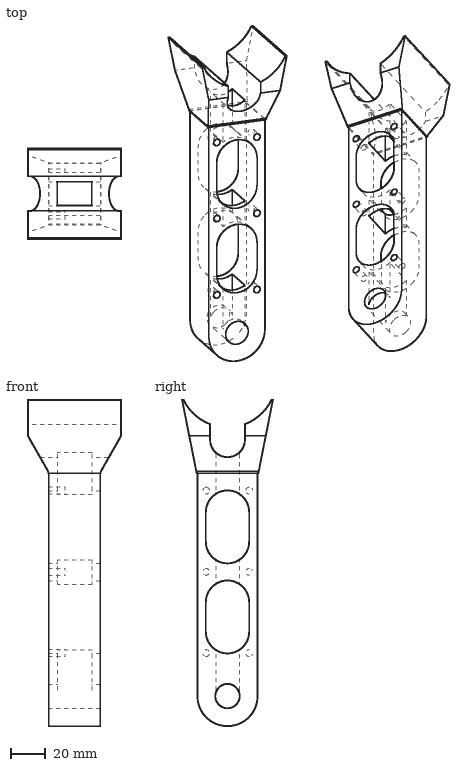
import cadquery as cq
import math

bar_thickness = 30.0
bar_width = 35.0
bar_radius = bar_width / 2
pivot_z = bar_radius
pivot_diameter = 14.0

total_height = 188.8
head_length = 54.0
head_base_length = 30.5
head_top_width = 52.7
head_bottom_width = 35.9
head_bottom_z = 146.5
flare_start_z = 147.5
flare_end_z = 168
lip_width = 1.0

seat_radius = 28.3
seat_half_opening = head_top_width / 2 - lip_width
seat_axis_z = total_height + math.sqrt(seat_radius**2 - seat_half_opening**2)
groove_width = 20.0
groove_floor_z = 155.8

window_width = 25.0
window_height = 42.1
window_centers_z = (63.3, 115.4)
screw_hole_diameter = 4.0
screw_hole_depth = 9.5
screw_spacing_y = 25.0
screw_rows_z = (42.5, 89.5, 136.5)
channel_length = 20.0
channel_width = 13.6


def rod_along_x(diameter, length, y, z):
    """Cylinder parallel to X, centered on X = 0."""
    start_plane = cq.Workplane("YZ").workplane(offset=-length / 2)
    return start_plane.center(y, z).circle(diameter / 2).extrude(length)


def make_bar():
    straight_height = head_bottom_z - pivot_z
    straight = cq.Workplane("XY").workplane(offset=pivot_z).rect(bar_thickness, bar_width)
    return straight.extrude(straight_height).union(rod_along_x(bar_width, bar_thickness, 0, pivot_z))


def make_head():
    end_profile = (
        cq.Workplane("YZ")
        .moveTo(-head_bottom_width / 2, head_bottom_z)
        .lineTo(head_bottom_width / 2, head_bottom_z)
        .lineTo(head_top_width / 2, total_height)
        .lineTo(-head_top_width / 2, total_height)
        .close()
        .extrude(head_length / 2, both=True)
    )
    side_profile = (
        cq.Workplane("XZ")
        .moveTo(-head_base_length / 2, head_bottom_z)
        .lineTo(head_base_length / 2, head_bottom_z)
        .lineTo(head_base_length / 2, flare_start_z)
        .lineTo(head_length / 2, flare_end_z)
        .lineTo(head_length / 2, total_height)
        .lineTo(-head_length / 2, total_height)
        .lineTo(-head_length / 2, flare_end_z)
        .lineTo(-head_base_length / 2, flare_start_z)
        .close()
        .extrude(head_top_width / 2, both=True)
    )
    return end_profile.intersect(side_profile)


def make_cradle_cut():
    seat = rod_along_x(2 * seat_radius, head_length, 0, seat_axis_z)
    groove_axis_z = groove_floor_z + groove_width / 2
    groove_round = rod_along_x(groove_width, head_length, 0, groove_axis_z)
    groove_slot = (
        cq.Workplane("XY")
        .workplane(offset=groove_axis_z)
        .rect(head_length, groove_width)
        .extrude(total_height - groove_axis_z)
    )
    return seat.union(groove_round).union(groove_slot)


def make_windows():
    return (
        cq.Workplane("YZ")
        .pushPoints([(0, z) for z in window_centers_z])
        .slot2D(window_height, window_width, 90)
        .extrude(bar_thickness / 2, both=True)
    )


def make_screw_holes():
    """Blind holes entering the bar from its -X face."""
    points = [(side * screw_spacing_y / 2, z) for z in screw_rows_z for side in (-1, 1)]
    return (
        cq.Workplane("YZ")
        .workplane(offset=-bar_thickness / 2)
        .pushPoints(points)
        .circle(screw_hole_diameter / 2)
        .extrude(screw_hole_depth)
    )


def make_channel():
    """Vertical channel from the pivot hole, through the windows, into the groove."""
    channel_top_z = groove_floor_z + groove_width / 2
    return (
        cq.Workplane("XY")
        .workplane(offset=pivot_z)
        .rect(channel_length, channel_width)
        .extrude(channel_top_z - pivot_z)
    )


result = (
    make_bar()
    .union(make_head())
    .cut(make_cradle_cut())
    .cut(make_windows())
    .cut(make_screw_holes())
    .cut(make_channel())
    .cut(rod_along_x(pivot_diameter, bar_thickness, 0, pivot_z))
    .translate((0, 0, -total_height / 2))
)